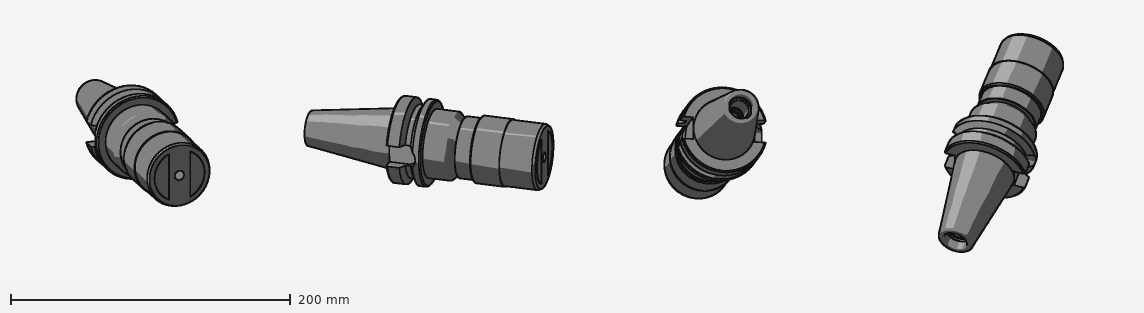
import cadquery as cq
import math

OVERALL_LENGTH = 176.2

TAPER_RATE = 7 / 24
GAUGE_DIAMETER = 44.5
GAUGE_X = 65.2
TAPER_END_ROUND = 2.0

FLANGE_DIAMETER = 62.9
FLANGE_START = 66.8
FLANGE_END = 92.5
FLANGE_CHAMFER = 1.0
GROOVE_DIAMETER = 53.4
GROOVE_START = 76.6
GROOVE_END = 86.7
GROOVE_FLANK_LENGTH = 3.0

SLOT_WIDTH = 16.2
CLOSED_SLOT_FLOOR = 22.2
CLOSED_SLOT_END = 88.8
OPEN_SLOT_FLOOR = 22.5
OPEN_SLOT_END = 98.0

BODY_DIAMETER = 50.0
NOSE_START = 109.0
NOSE_ROUND = 1.4
JOINT_X = 115.4

BORE_MOUTH_ROUND = 0.7
PILOT_DIAMETER = 17.5
PILOT_DEPTH = 7.2
SEAT_DIAMETER = 17.0
SEAT_DEPTH = 9.2
THREAD_DIAMETER = 14.0
THREAD_DEPTH = 30.0
RELIEF_DIAMETER = 12.2
RELIEF_DEPTH = 35.2
COOLANT_DIAMETER = 10.0
COOLANT_DEPTH = 52.9
THROUGH_DIAMETER = 7.0
DRILL_TIP_SLOPE = math.tan(math.radians(30))

SLEEVE_REAR_DIAMETER = 45.0
SLEEVE_REAR_CHAMFER = 0.4
COLLAR_DIAMETER = 49.0
COLLAR_START = 127.2
COLLAR_CHAMFER = 1.0
SLEEVE_FRONT_DIAMETER = 48.0
SLEEVE_FRONT_START = 149.5
SLEEVE_END_CHAMFER = 2.1
SLEEVE_END_CHAMFER_DEPTH = 1.0
LUG_DIAMETER = 38.2
LUG_HEIGHT = 0.4
LUG_GAP = SLOT_WIDTH


def revolve_about_x(points):
    """Revolve a closed outline of (X, radius) points about the X axis."""
    return cq.Workplane("XY").polyline(points).close().revolve(360, (0, 0, 0), (1, 0, 0))


def round_edge_at(body, x, edge_radius, round_radius):
    """Round the circular edge of edge_radius that lies in the plane at x."""
    margin = 0.02
    reach = edge_radius + margin
    in_reach = cq.selectors.BoxSelector(
        (x - margin, -reach, -reach), (x + margin, reach, reach), boundingbox=True
    )
    return body.edges(in_reach).fillet(round_radius)


def make_holder_blank():
    gauge_radius = GAUGE_DIAMETER / 2
    flange_radius = FLANGE_DIAMETER / 2
    groove_radius = GROOVE_DIAMETER / 2
    body_radius = BODY_DIAMETER / 2
    small_end_radius = gauge_radius - GAUGE_X * TAPER_RATE / 2
    nose_end_radius = body_radius - (JOINT_X - NOSE_START)
    blank = revolve_about_x([
        (0, 0),
        (0, small_end_radius),
        (GAUGE_X, gauge_radius),
        (FLANGE_START, gauge_radius),
        (FLANGE_START, flange_radius - FLANGE_CHAMFER),
        (FLANGE_START + FLANGE_CHAMFER, flange_radius),
        (GROOVE_START, flange_radius),
        (GROOVE_START + GROOVE_FLANK_LENGTH, groove_radius),
        (GROOVE_END - GROOVE_FLANK_LENGTH, groove_radius),
        (GROOVE_END, flange_radius),
        (FLANGE_END - FLANGE_CHAMFER, flange_radius),
        (FLANGE_END, flange_radius - FLANGE_CHAMFER),
        (FLANGE_END, body_radius),
        (NOSE_START, body_radius),
        (JOINT_X, nose_end_radius),
        (JOINT_X, 0),
    ])
    blank = round_edge_at(blank, 0, small_end_radius, TAPER_END_ROUND)
    return round_edge_at(blank, NOSE_START, body_radius, NOSE_ROUND)


def make_drive_slot(floor, end_x, side):
    """Round-ended slot cutter beyond |Y| = floor; side is -1 or +1 along Y."""
    radius = SLOT_WIDTH / 2
    start_x = FLANGE_START
    arc_x = end_x - radius
    return (
        cq.Workplane("XZ", origin=(0, side * floor, 0))
        .moveTo(start_x, -radius)
        .lineTo(arc_x, -radius)
        .threePointArc((end_x, 0), (arc_x, radius))
        .lineTo(start_x, radius)
        .close()
        .extrude(-side * FLANGE_DIAMETER)
    )


def make_holder_bore():
    pilot_radius = PILOT_DIAMETER / 2
    seat_radius = SEAT_DIAMETER / 2
    thread_radius = THREAD_DIAMETER / 2
    relief_radius = RELIEF_DIAMETER / 2
    coolant_radius = COOLANT_DIAMETER / 2
    through_radius = THROUGH_DIAMETER / 2
    relief_tip_length = (relief_radius - coolant_radius) * DRILL_TIP_SLOPE
    coolant_tip_length = (coolant_radius - through_radius) * DRILL_TIP_SLOPE
    return revolve_about_x([
        (0, 0),
        (0, pilot_radius),
        (PILOT_DEPTH, pilot_radius),
        (PILOT_DEPTH, seat_radius),
        (SEAT_DEPTH, seat_radius),
        (SEAT_DEPTH, thread_radius),
        (THREAD_DEPTH, thread_radius),
        (THREAD_DEPTH, relief_radius),
        (RELIEF_DEPTH, relief_radius),
        (RELIEF_DEPTH + relief_tip_length, coolant_radius),
        (COOLANT_DEPTH, coolant_radius),
        (COOLANT_DEPTH + coolant_tip_length, through_radius),
        (JOINT_X, through_radius),
        (JOINT_X, 0),
    ])


def make_holder():
    closed_slot = make_drive_slot(CLOSED_SLOT_FLOOR, CLOSED_SLOT_END, -1)
    open_slot = make_drive_slot(OPEN_SLOT_FLOOR, OPEN_SLOT_END, 1)
    holder = make_holder_blank().cut(closed_slot).cut(open_slot).cut(make_holder_bore())
    return round_edge_at(holder, 0, PILOT_DIAMETER / 2, BORE_MOUTH_ROUND)


def make_sleeve():
    bore_radius = THROUGH_DIAMETER / 2
    rear_radius = SLEEVE_REAR_DIAMETER / 2
    collar_radius = COLLAR_DIAMETER / 2
    front_radius = SLEEVE_FRONT_DIAMETER / 2
    end_face_x = OVERALL_LENGTH - LUG_HEIGHT
    sleeve = revolve_about_x([
        (JOINT_X, bore_radius),
        (JOINT_X, rear_radius - SLEEVE_REAR_CHAMFER),
        (JOINT_X + SLEEVE_REAR_CHAMFER, rear_radius),
        (COLLAR_START, rear_radius),
        (COLLAR_START, collar_radius - COLLAR_CHAMFER),
        (COLLAR_START + COLLAR_CHAMFER, collar_radius),
        (SLEEVE_FRONT_START, collar_radius),
        (SLEEVE_FRONT_START, front_radius),
        (end_face_x - SLEEVE_END_CHAMFER, front_radius),
        (end_face_x, front_radius - SLEEVE_END_CHAMFER_DEPTH),
        (end_face_x, LUG_DIAMETER / 2),
        (OVERALL_LENGTH, LUG_DIAMETER / 2),
        (OVERALL_LENGTH, bore_radius),
    ])
    lug_gap = (
        cq.Workplane("YZ", origin=(end_face_x, 0, 0))
        .rect(LUG_GAP, COLLAR_DIAMETER)
        .extrude(LUG_HEIGHT)
    )
    return sleeve.cut(lug_gap)


holder = make_holder()
sleeve = make_sleeve()
result = cq.Compound.makeCompound([holder.val(), sleeve.val()])